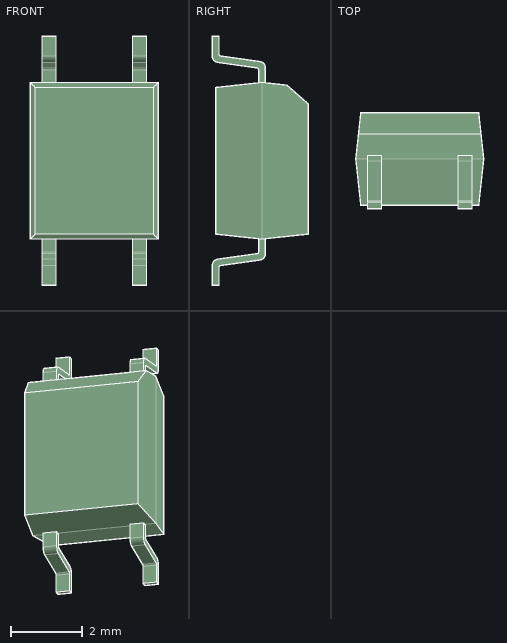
import cadquery as cq
import math

body_width = 3.6
body_height = 4.4
half_depth = 1.3
draft_inset = 0.14

bevel_start_y = 0.7
bevel_end_z = 1.595

overall_height = 7.0
lead_pitch = 2.54
lead_width = 0.4
lead_thickness = 0.195
lead_slope = math.radians(8)
foot_y = -1.4
lower_bend_z = 2.6
inner_bend_radius = 0.05
outer_bend_radius = 0.18
lead_embed = 0.21


def body_half(direction):
    """Half of the body, tapering from the parting plane along direction * Y."""
    return (
        cq.Workplane("XZ")
        .rect(body_width, body_height)
        .workplane(offset=-direction * half_depth)
        .rect(body_width - 2 * draft_inset, body_height - 2 * draft_inset)
        .loft(ruled=True)
    )


def bevel_cutter():
    """Wedge removed above the sloping bevel plane."""
    draft_slope = draft_inset / half_depth
    bevel_start_z = body_height / 2 - bevel_start_y * draft_slope
    return (
        cq.Workplane("YZ")
        .moveTo(bevel_start_y, bevel_start_z)
        .lineTo(half_depth, bevel_end_z)
        .lineTo(half_depth, bevel_start_z)
        .close()
        .extrude(body_width / 2, both=True)
    )


def round_bends(strip, center_x, corners, radius):
    """Fillet the edges along X that pass through the given (y, z) corners."""
    for y, z in corners:
        nearest = cq.selectors.NearestToPointSelector((center_x, y, z))
        strip = strip.edges("|X").edges(nearest).fillet(radius)
    return strip


def upper_lead(center_x):
    """Bent strip leaving the top of the body and ending in a vertical foot."""
    shank_y = lead_thickness / 2
    foot_inner_y = foot_y + lead_thickness
    root_z = body_height / 2 - lead_embed
    tip_z = overall_height / 2
    vertical_thickness = lead_thickness / math.cos(lead_slope)

    def underside_z(y):
        return lower_bend_z - (y + shank_y) * math.tan(lead_slope)

    shank_inner = (-shank_y, lower_bend_z)
    shank_outer = (shank_y, underside_z(shank_y) + vertical_thickness)
    foot_outer = (foot_y, underside_z(foot_y))
    foot_inner = (foot_inner_y, underside_z(foot_inner_y) + vertical_thickness)
    strip = (
        cq.Workplane("YZ", origin=(center_x, 0, 0))
        .polyline([
            (-shank_y, root_z), shank_inner, foot_outer, (foot_y, tip_z),
            (foot_inner_y, tip_z), foot_inner, shank_outer, (shank_y, root_z),
        ])
        .close()
        .extrude(lead_width / 2, both=True)
    )

    strip = round_bends(strip, center_x, [shank_inner, foot_inner], inner_bend_radius)
    return round_bends(strip, center_x, [shank_outer, foot_outer], outer_bend_radius)


result = body_half(1).union(body_half(-1)).cut(bevel_cutter())
for side in (-1, 1):
    lead = upper_lead(side * lead_pitch / 2)
    result = result.union(lead).union(lead.mirror("XY"))